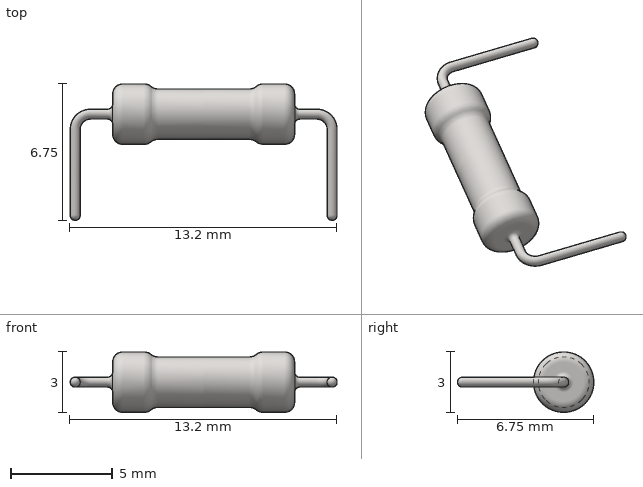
import cadquery as cq
import math

body_length = 9.0
cap_diameter = 3.0
neck_radius = 1.25
cap_straight_end = 1.57
round_radius = 0.5
wire_radius = 0.25
flare_radius = 0.25
overall_width = 13.2
bend_radius = 0.75
lead_drop = 5.0

half_body = body_length / 2
cap_radius = cap_diameter / 2
lead_x = overall_width / 2 - wire_radius

shoulder_drop = cap_radius - neck_radius
shoulder_angle = math.acos(1 - shoulder_drop / (2 * round_radius))
shoulder_half_length = round_radius * math.sin(shoulder_angle)
shoulder_start = half_body - cap_straight_end
shoulder_mid = shoulder_start - shoulder_half_length
shoulder_end = shoulder_mid - shoulder_half_length


def arc_point(center_x, center_y, radius, angle):
    """Point on a circle, with the angle in radians from +X."""
    return (center_x + radius * math.cos(angle), center_y + radius * math.sin(angle))


def half_body_solid():
    """Body from its middle to its +X end, revolved about the X axis."""
    quarter = math.pi / 4
    half_shoulder = shoulder_angle / 2
    flare_x = half_body + flare_radius
    flare_y = wire_radius + flare_radius
    profile = (
        cq.Workplane("XY")
        .moveTo(0, 0)
        .lineTo(0, neck_radius)
        .lineTo(shoulder_end, neck_radius)
        .threePointArc(
            arc_point(shoulder_end, neck_radius + round_radius, round_radius, half_shoulder - math.pi / 2),
            (shoulder_mid, neck_radius + shoulder_drop / 2),
        )
        .threePointArc(
            arc_point(shoulder_start, cap_radius - round_radius, round_radius, math.pi / 2 + half_shoulder),
            (shoulder_start, cap_radius),
        )
        .lineTo(half_body - round_radius, cap_radius)
        .threePointArc(
            arc_point(half_body - round_radius, cap_radius - round_radius, round_radius, quarter),
            (half_body, cap_radius - round_radius),
        )
        .lineTo(half_body, flare_y)
        .threePointArc(
            arc_point(flare_x, flare_y, flare_radius, 5 * quarter),
            (flare_x, wire_radius),
        )
        .lineTo(flare_x, 0)
        .close()
    )
    return profile.revolve(360, (0, 0, 0), (1, 0, 0))


def lead():
    """Bent wire leaving the +X end and turning toward -Y, with a round tip."""
    bend_x = lead_x - bend_radius
    path = (
        cq.Workplane("XY")
        .moveTo(half_body, 0)
        .lineTo(bend_x, 0)
        .threePointArc(arc_point(bend_x, -bend_radius, bend_radius, math.pi / 4), (lead_x, -bend_radius))
        .lineTo(lead_x, -lead_drop)
    )
    wire = cq.Workplane("YZ", origin=(half_body, 0, 0)).circle(wire_radius).sweep(path)
    tip = cq.Workplane("XY").sphere(wire_radius).translate((lead_x, -lead_drop, 0))
    return wire.union(tip)


right_half = half_body_solid().union(lead())
result = right_half.union(right_half.mirror("YZ"))